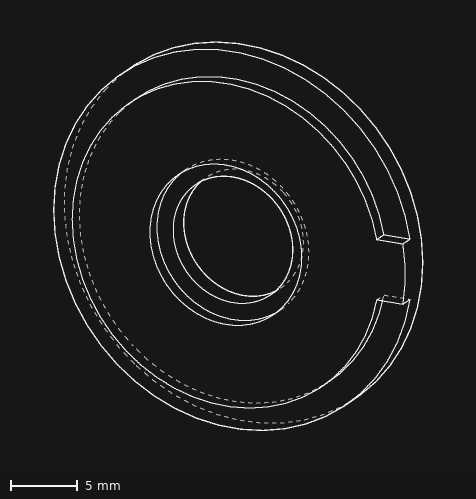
import cadquery as cq

flange_diameter = 30.0
flange_thickness = 1.8
boss_diameter = 25.7
boss_height = 1.2
key_width = 4.8
bore_diameter = 10.0
counterbore_diameter = 12.7
counterbore_depth = 1.2

total_thickness = flange_thickness + boss_height


def cylinder_toward_front(diameter, back_y, length):
    """Cylinder on the Y axis, running from back_y toward -Y."""
    return (
        cq.Workplane("XZ", origin=(0, back_y, 0))
        .circle(diameter / 2)
        .extrude(length)
    )


def make_key():
    """Radial key on the +X side, ending flush with the flange rim."""
    bar = (
        cq.Workplane("XZ")
        .center(flange_diameter / 4, 0)
        .rect(flange_diameter / 2, key_width)
        .extrude(total_thickness)
    )
    return bar.intersect(cylinder_toward_front(flange_diameter, 0, total_thickness))


flange = cylinder_toward_front(flange_diameter, 0, flange_thickness)
boss = cylinder_toward_front(boss_diameter, 0, total_thickness)
body = flange.union(boss).union(make_key())

bore = cylinder_toward_front(bore_diameter, 0, total_thickness)
counterbore_floor_y = counterbore_depth - total_thickness
counterbore = cylinder_toward_front(counterbore_diameter, counterbore_floor_y, counterbore_depth)

result = body.cut(bore).cut(counterbore)